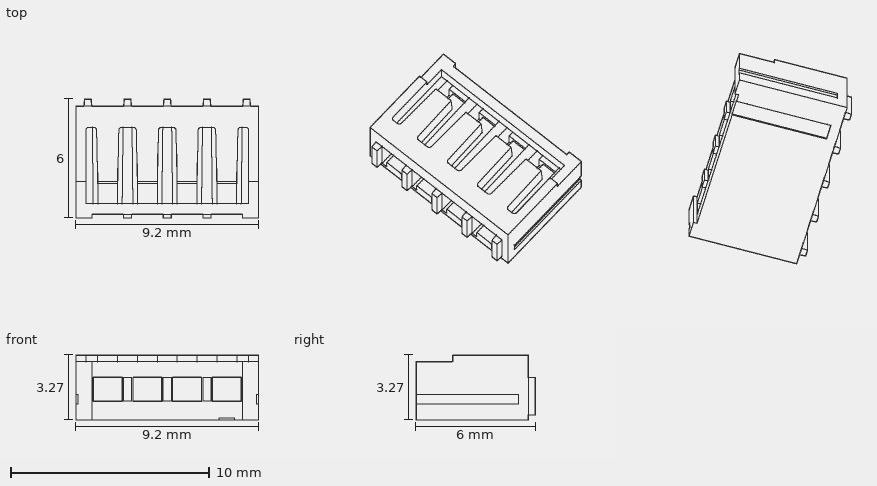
import cadquery as cq


length = 9.2
overall_depth = 6.0
height = 3.27
tab_reach = 0.35
body_depth = overall_depth - tab_reach

ways = 4
pitch = 2.0
way_centers = [(i - (ways - 1) / 2) * pitch for i in range(ways)]
partition_centers = [(i - ways / 2) * pitch for i in range(ways + 1)]

ledge_height = 2.95
step_y = 1.842
recess_depth = 0.19
pillar_width = 0.82
rib_width = 0.42

channel_floor = 0.95
channel_roof = 2.15
channel_front_width = 1.445
channel_rear_width = 1.576

sill_back_y = 0.57
bed_floor = 0.25
rail_width = 1.0
rail_top = 0.75
rail_radius = 0.1

opening_length = 8.2
opening_front_y = 0.73
opening_rear_y = 4.58
finger_tip_y = 1.75
finger_tip_width = 1.01
finger_root_width = 1.126
slot_corner_radius = 0.15

tab_root_width = 0.4
tab_tip_width = 0.34
tab_bottom = 0.25

groove_depth = 0.1
groove_width = 0.5
groove_bottom = 0.8
groove_end_y = 5.145
notch_width = 0.8
notch_height = 0.1


def block(x_center, x_size, y_range, z_range):
    """Box centred in X, spanning the given Y and Z ranges."""
    y_low, y_high = y_range
    z_low, z_high = z_range
    box = cq.Workplane("XY").box(x_size, y_high - y_low, z_high - z_low, centered=(True, False, False))
    return box.translate((x_center, y_low, z_low))


def tapered_block(x_center, front_width, rear_width, y_range, z_range):
    """Upright prism whose width changes evenly from front to rear."""
    y_front, y_rear = y_range
    z_low, z_high = z_range
    outline = [
        (x_center - front_width / 2, y_front),
        (x_center + front_width / 2, y_front),
        (x_center + rear_width / 2, y_rear),
        (x_center - rear_width / 2, y_rear),
    ]
    return cq.Workplane("XY").workplane(offset=z_low).polyline(outline).close().extrude(z_high - z_low)


def make_body():
    """Block stepped down around the fingers, with a shallow recess between the two front pillars."""
    body = block(0, length, (0, body_depth), (0, height))
    step = block(0, length, (0, step_y), (ledge_height, height))
    fingers_zone = block(0, opening_length, (opening_front_y, step_y), (ledge_height, height))
    body = body.cut(step.cut(fingers_zone))
    recess_width = length - 2 * pillar_width
    return body.cut(block(0, recess_width, (0, recess_depth), (0, height)))


def make_channel(x_center):
    """Through channel of one way, including its sunk bed and leaving the rail standing."""
    y_range = (recess_depth, body_depth)
    channel = tapered_block(
        x_center, channel_front_width, channel_rear_width, y_range, (bed_floor, channel_roof)
    )
    sill = block(x_center, pitch, (recess_depth, sill_back_y), (bed_floor, channel_floor))
    rail = block(x_center, rail_width, (sill_back_y, body_depth), (bed_floor, rail_top))
    rail = rail.edges("|Y and >Z").fillet(rail_radius)
    return channel.cut(sill).cut(rail)


def finger_width_at(y):
    """Finger width, extended along its straight taper."""
    slope = (finger_root_width - finger_tip_width) / (opening_rear_y - step_y)
    return finger_root_width - slope * (opening_rear_y - y)


def make_slot(x_center):
    """Gap beside the fingers at one partition, cut off at the ends of the top opening."""
    slot = tapered_block(
        x_center,
        pitch - finger_width_at(opening_front_y),
        pitch - finger_root_width,
        (opening_front_y, opening_rear_y),
        (channel_roof, height),
    )
    opening = block(0, opening_length, (opening_front_y, opening_rear_y), (channel_roof, height))
    return slot.intersect(opening).edges("|Z and >Y").fillet(slot_corner_radius)


def make_front_opening():
    """Space between the front wall and the undercut finger tips."""
    profile = [
        (opening_front_y, channel_roof),
        (finger_tip_y, channel_roof),
        (step_y, height),
        (opening_front_y, height),
    ]
    return cq.Workplane("YZ").polyline(profile).close().extrude(opening_length / 2, both=True)


def make_side_groove(side):
    """Groove along one end face; side is -1 or +1."""
    x_center = side * (length - groove_depth) / 2
    return block(x_center, groove_depth, (0, groove_end_y), (groove_bottom, groove_bottom + groove_width))


def make_tab(x_center):
    """Tapered tab on the rear face behind one partition."""
    return tapered_block(
        x_center, tab_root_width, tab_tip_width, (body_depth, overall_depth), (tab_bottom, channel_roof)
    )


result = make_body()

for center in way_centers:
    result = result.cut(make_channel(center))

result = result.cut(make_front_opening())
for center in partition_centers:
    result = result.cut(make_slot(center))
    result = result.union(make_tab(center))

for center in partition_centers[1:-1]:
    result = result.union(block(center, rib_width, (0, recess_depth), (channel_floor, channel_roof)))

for end in (-1, 1):
    result = result.cut(make_side_groove(end))

result = result.cut(block(way_centers[-1], notch_width, (0, groove_end_y), (0, notch_height)))